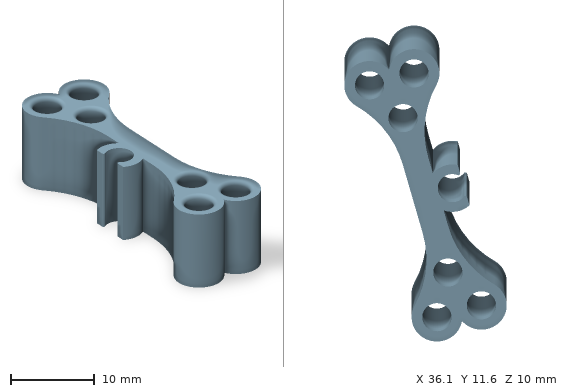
import cadquery as cq
import math

height = 10.0
overall_length = 36.08
overall_width = 11.58

lobe_radius = 3.03
lobe_x = overall_length / 2 - lobe_radius
lobe_y = overall_width / 2 - lobe_radius
inner_hole_x = 10.0
hole_diameter = 3.5
rim_fillet = 0.5

bar_half_width = 1.6
straight_half_length = 4.45

clip_outer_radius = 2.95
clip_bore_radius = hole_diameter / 2
clip_y = -bar_half_width - clip_bore_radius
clip_tip_y = -4.73
clip_mouth_width = 2.7
mouth_fillet = 0.2


def make_body():
    """Bar with flared ends, plus the two round lobes at each end."""
    run = lobe_x - straight_half_length
    rise = lobe_y - bar_half_width
    flare_radius = (run**2 + rise**2 - lobe_radius**2) / (2 * (lobe_radius + rise))
    flare_center_y = bar_half_width + flare_radius
    flare_angle = math.asin(run / (flare_radius + lobe_radius))

    def flare_point(angle):
        x = straight_half_length + flare_radius * math.sin(angle)
        y = flare_center_y - flare_radius * math.cos(angle)
        return x, y

    mid_x, mid_y = flare_point(flare_angle / 2)
    end_x, end_y = flare_point(flare_angle)
    body = (
        cq.Workplane("XY")
        .moveTo(-straight_half_length, bar_half_width)
        .lineTo(straight_half_length, bar_half_width)
        .threePointArc((mid_x, mid_y), (end_x, end_y))
        .lineTo(lobe_x, lobe_y)
        .lineTo(lobe_x, -lobe_y)
        .lineTo(end_x, -end_y)
        .threePointArc((mid_x, -mid_y), (straight_half_length, -bar_half_width))
        .lineTo(-straight_half_length, -bar_half_width)
        .threePointArc((-mid_x, -mid_y), (-end_x, -end_y))
        .lineTo(-lobe_x, -lobe_y)
        .lineTo(-lobe_x, lobe_y)
        .lineTo(-end_x, end_y)
        .threePointArc((-mid_x, mid_y), (-straight_half_length, bar_half_width))
        .close()
        .extrude(height)
    )
    lobes = (
        cq.Workplane("XY")
        .rect(2 * lobe_x, 2 * lobe_y, forConstruction=True)
        .vertices()
        .circle(lobe_radius)
        .extrude(height)
    )
    return body.union(lobes)


def add_clip(body):
    """Add the open C-shaped clip with flat tips."""
    ring = cq.Workplane("XY").center(0, clip_y).circle(clip_outer_radius).extrude(height)
    keep = (
        cq.Workplane("XY")
        .rect(2 * clip_outer_radius, -clip_tip_y)
        .extrude(height)
        .translate((0, clip_tip_y / 2, 0))
    )
    bore = cq.Workplane("XY").center(0, clip_y).circle(clip_bore_radius).extrude(height)
    mouth_depth = clip_y - clip_tip_y
    mouth = (
        cq.Workplane("XY")
        .rect(clip_mouth_width, mouth_depth)
        .extrude(height)
        .translate((0, clip_y - mouth_depth / 2, 0))
    )
    clipped = body.union(ring.intersect(keep)).cut(bore).cut(mouth)
    for side in (-1, 1):
        corner = (side * clip_mouth_width / 2, clip_tip_y, height / 2)
        clipped = clipped.edges("|Z").edges(cq.NearestToPointSelector(corner)).fillet(mouth_fillet)
    return clipped


def cut_holes(body):
    """Cut three through holes at each end, with rounded top rims."""
    centers = []
    for side in (-1, 1):
        centers.append((side * lobe_x, lobe_y))
        centers.append((side * lobe_x, -lobe_y))
        centers.append((side * inner_hole_x, 0))
    cutter = cq.Workplane("XY").pushPoints(centers).circle(hole_diameter / 2).extrude(height)
    drilled = body.cut(cutter)
    for x, y in centers:
        rim = cq.NearestToPointSelector((x, y, height))
        drilled = drilled.faces(">Z").edges(rim).fillet(rim_fillet)
    return drilled


result = add_clip(cut_holes(make_body()))